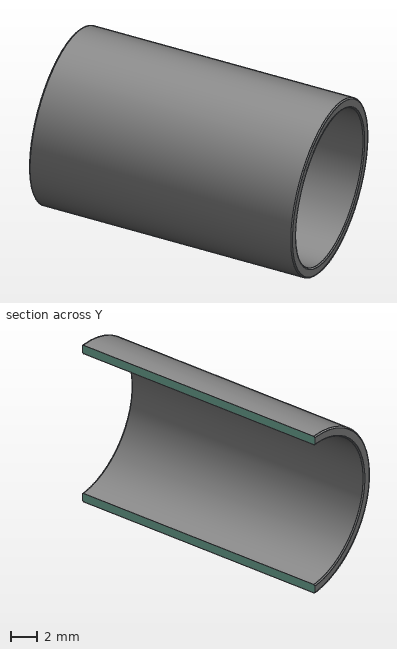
import cadquery as cq

length = 21.88
outer_diameter = 14.2
bore_diameter = 12.6
edge_chamfer = 0.1


def make_sleeve():
    """Plain tube along X, centred on the origin."""
    return (
        cq.Workplane("YZ", origin=(-length / 2, 0, 0))
        .circle(outer_diameter / 2)
        .circle(bore_diameter / 2)
        .extrude(length)
    )


def break_end_edges(sleeve):
    """Chamfer the outer and bore edges on both end faces."""
    return sleeve.faces("<X or >X").edges().chamfer(edge_chamfer)


result = break_end_edges(make_sleeve())